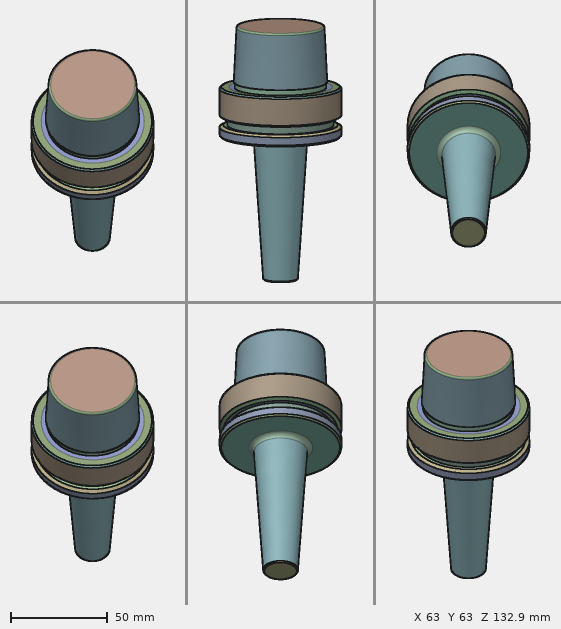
import cadquery as cq
import math

total_height = 132.9
flange_top = 101.0
flange_height = 26.0
flange_bottom = flange_top - flange_height

shank_top_radius = 22.7
shank_base_radius = 24.2
shank_base = 103.5
shank_edge_round = 1.0
neck_radius = 23.7
neck_top = 103.3

relief_radius = 26.6
relief_depth = 0.4

flange_radius = 31.5
flange_chamfer = 0.9
groove_floor_radius = 27.5
groove_lip_radius = 29.5
groove_bottom = 81.1
groove_width = 4.0
groove_top = groove_bottom + groove_width
groove_lip_height = (flange_radius - groove_lip_radius) * math.tan(math.radians(30))

stem_top_radius = 13.8
stem_tip_radius = 9.0
stem_chamfer = 0.7
stem_fillet = 2.7


def make_shank():
    """Tapered shank with a rounded top edge, standing on a straight neck."""
    profile = (
        cq.Workplane("XZ")
        .moveTo(0, flange_bottom)
        .lineTo(neck_radius, flange_bottom)
        .lineTo(neck_radius, neck_top)
        .lineTo(shank_base_radius, shank_base)
        .lineTo(shank_top_radius, total_height)
        .lineTo(0, total_height)
        .close()
    )
    shank = profile.revolve(360, (0, 0), (0, 1))
    return shank.faces(">Z").edges().fillet(shank_edge_round)


def make_flange():
    """Chamfered flange with a flared gripper groove and a relief in its top face."""
    profile = (
        cq.Workplane("XZ")
        .moveTo(0, flange_bottom)
        .lineTo(flange_radius - flange_chamfer, flange_bottom)
        .lineTo(flange_radius, flange_bottom + flange_chamfer)
        .lineTo(flange_radius, groove_bottom - groove_lip_height)
        .lineTo(groove_lip_radius, groove_bottom)
        .lineTo(groove_floor_radius, groove_bottom)
        .lineTo(groove_floor_radius, groove_top)
        .lineTo(groove_lip_radius, groove_top)
        .lineTo(flange_radius, groove_top + groove_lip_height)
        .lineTo(flange_radius, flange_top - flange_chamfer)
        .lineTo(flange_radius - flange_chamfer, flange_top)
        .lineTo(relief_radius, flange_top)
        .lineTo(neck_radius, flange_top - relief_depth)
        .lineTo(0, flange_top - relief_depth)
        .close()
    )
    return profile.revolve(360, (0, 0), (0, 1))


def make_stem():
    """Tapered stem with a chamfered tip and a fillet flaring into the flange."""
    fillet_end = flange_bottom - stem_fillet
    fillet_middle = stem_fillet * (1 - math.sqrt(0.5))
    profile = (
        cq.Workplane("XZ")
        .lineTo(stem_tip_radius - stem_chamfer, 0)
        .lineTo(stem_tip_radius, stem_chamfer)
        .lineTo(stem_top_radius, fillet_end)
        .threePointArc(
            (stem_top_radius + fillet_middle, flange_bottom - fillet_middle),
            (stem_top_radius + stem_fillet, flange_bottom),
        )
        .lineTo(0, flange_bottom)
        .close()
    )
    return profile.revolve(360, (0, 0), (0, 1))


result = make_stem().union(make_flange()).union(make_shank())